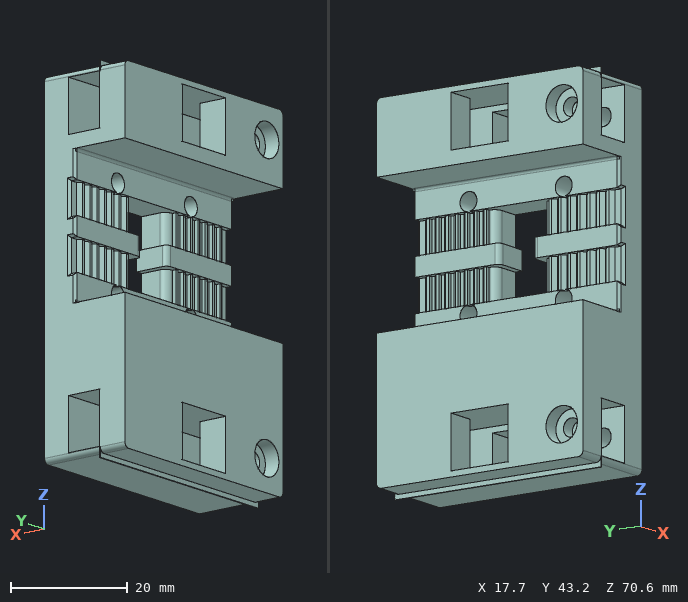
import cadquery as cq
THICKNESS = 17.7
WIDTH = 43.2
SHEET_HEIGHT = 70.6
BODY_HEIGHT = 68.8
CORNER_RADIUS = 1.0
FRONT_X = -THICKNESS / 2
BACK_X = THICKNESS / 2
END_Y = WIDTH / 2

MOUNT_Z = 28.25
SLOT_FRONT_X = -3.25
SLOT_DEPTH = 6.8
SLOT_HEIGHT = 10.2
WINDOW_WIDTH = 11.85
BACK_WINDOW_HEIGHT = 8.0
SHEET_THICKNESS = 0.2

MOUNT_SCREW_DIAMETER = 3.4
MOUNT_SCREW_Y = -17.15
HEAD_DIAMETER = 6.6
HEAD_DEPTH = 3.0

RECESS_Z = 6.8
RECESS_HEIGHT = 27.4
FLOOR_X = 2.05
FLOOR_FILLET = 0.5
CLAMP_SCREW_DIAMETER = 3.5
CLAMP_SCREW_OFFSET = 9.95

RIB_HEIGHT = 3.75
CHANNEL_HEIGHT = 6.35
CHANNEL_OFFSET = (RIB_HEIGHT + CHANNEL_HEIGHT) / 2
CREST_X = 2.55
TOOTH_HEIGHT = 0.75
ROOT_X = CREST_X + TOOTH_HEIGHT
END_FLARE = 0.5

TOOTH_COUNT = 7
TOOTH_PITCH = 2.0
CREST_WIDTH = 0.6
FIRST_CREST_END_Y = 7.05

OPENING_HALF_WIDTH = 4.9
CHANNEL_ROUND = 1.5
RIB_GAP_HALF_WIDTH = 3.45
RIB_ROUND = 1.0

SIDES = (-1, 1)


def block(x_range, y_range, z_range):
    """Axis-aligned box between the given limits."""
    size = [high - low for low, high in (x_range, y_range, z_range)]
    corner = (x_range[0], y_range[0], z_range[0])
    return cq.Workplane("XY").box(*size, centered=False).translate(corner)


def span(centre, length):
    return (centre - length / 2, centre + length / 2)


def hole_along_x(diameter, y, z, x_range):
    """Cylinder along X, used as a cutter."""
    length = x_range[1] - x_range[0]
    cutter = cq.Workplane("YZ", origin=(x_range[0], 0, 0))
    return cutter.center(y, z).circle(diameter / 2).extrude(length)


def make_housing():
    body = cq.Workplane("XY").box(THICKNESS, WIDTH, BODY_HEIGHT)
    body = body.edges("|X").fillet(CORNER_RADIUS)
    sheet_x = (SLOT_FRONT_X - SHEET_THICKNESS, SLOT_FRONT_X)
    sheet = block(sheet_x, span(0, WIDTH), span(0, SHEET_HEIGHT))
    return body.union(sheet)


def cut_mounting_end(body, z):
    slot_back_x = SLOT_FRONT_X + SLOT_DEPTH
    slot_z = span(z, SLOT_HEIGHT)
    window_y = span(0, WINDOW_WIDTH)
    body = body.cut(block((SLOT_FRONT_X, slot_back_x), span(0, WIDTH), slot_z))
    body = body.cut(block((FRONT_X, slot_back_x), window_y, slot_z))
    body = body.cut(block((slot_back_x, BACK_X), window_y, span(z, BACK_WINDOW_HEIGHT)))
    body = body.cut(hole_along_x(MOUNT_SCREW_DIAMETER, MOUNT_SCREW_Y, z, (FRONT_X, BACK_X)))
    head_x = (FRONT_X, FRONT_X + HEAD_DEPTH)
    return body.cut(hole_along_x(HEAD_DIAMETER, MOUNT_SCREW_Y, z, head_x))


def recess_cutter():
    recess = block((FRONT_X, FLOOR_X), span(0, WIDTH), span(RECESS_Z, RECESS_HEIGHT))
    return recess.edges("|Y and >X").fillet(FLOOR_FILLET)


def channel_profile(side):
    """Half of the belt channel in the XY plane, from the middle to one end."""
    round_end_y = OPENING_HALF_WIDTH + CHANNEL_ROUND
    points = [(ROOT_X, round_end_y)]
    for index in range(TOOTH_COUNT):
        crest_end_y = FIRST_CREST_END_Y + index * TOOTH_PITCH
        crest_start_y = crest_end_y - CREST_WIDTH
        points.append((ROOT_X, crest_start_y))
        points.append((CREST_X, crest_start_y))
        points.append((CREST_X, crest_end_y))
        points.append((ROOT_X, crest_end_y + TOOTH_HEIGHT))
    points += [(ROOT_X, END_Y), (FRONT_X, END_Y), (FRONT_X, 0), (BACK_X, 0)]
    points.append((BACK_X, OPENING_HALF_WIDTH))
    points.append((ROOT_X + CHANNEL_ROUND, OPENING_HALF_WIDTH))

    sketch = cq.Workplane("XY").moveTo(points[0][0], side * points[0][1])
    for x, y in points[1:]:
        sketch = sketch.lineTo(x, side * y)
    middle = CHANNEL_ROUND * (1 - 0.5 ** 0.5)
    sketch = sketch.threePointArc(
        (ROOT_X + middle, side * (OPENING_HALF_WIDTH + middle)),
        (ROOT_X, side * round_end_y),
    )
    return sketch.close()


def end_flare(side, depth_x, z, height):
    """Tapered cutter that widens a passage by END_FLARE where it leaves the body."""
    inner_y = side * (END_Y - END_FLARE)

    def corners(growth):
        low, high = span(z, height + 2 * growth)
        return [(0, low), (depth_x + growth, low), (depth_x + growth, high), (0, high)]

    flare = cq.Workplane("XZ", origin=(0, inner_y, 0)).polyline(corners(0)).close()
    flare = flare.workplane(offset=-side * END_FLARE).polyline(corners(END_FLARE)).close()
    return flare.loft(ruled=True, combine=True)


def cut_channel(body, z):
    low_z = z - CHANNEL_HEIGHT / 2
    for side in SIDES:
        channel = channel_profile(side).extrude(CHANNEL_HEIGHT)
        body = body.cut(channel.translate((0, 0, low_z)))
        body = body.cut(end_flare(side, ROOT_X, z, CHANNEL_HEIGHT))
    return body


def cut_floor_ends(body):
    """Bevel the floor edge at both ends of the recess."""
    low_z = RECESS_Z - RECESS_HEIGHT / 2
    for side in SIDES:
        bevel = cq.Workplane("XY", origin=(0, 0, low_z)).polyline([
            (FLOOR_X, side * (END_Y - END_FLARE)),
            (FLOOR_X + END_FLARE, side * END_Y),
            (FLOOR_X, side * END_Y),
        ])
        body = body.cut(bevel.close().extrude(RECESS_HEIGHT))
    return body


def cut_rib_gap(body):
    """Split the rib in the middle and round its two front edges."""
    gap_y = span(0, 2 * RIB_GAP_HALF_WIDTH)
    gap = block((FLOOR_X, BACK_X), gap_y, span(RECESS_Z, RIB_HEIGHT))
    body = body.cut(gap)
    rib_edges = cq.selectors.BoxSelector(
        (FLOOR_X - RIB_ROUND / 2, gap_y[0] - RIB_ROUND / 2, RECESS_Z - RIB_HEIGHT),
        (FLOOR_X + RIB_ROUND / 2, gap_y[1] + RIB_ROUND / 2, RECESS_Z + RIB_HEIGHT),
    )
    return body.edges("|Z").edges(rib_edges).fillet(RIB_ROUND)


def cut_clamp_screws(body):
    for y_side in SIDES:
        for z_side in SIDES:
            y = y_side * CLAMP_SCREW_OFFSET
            z = RECESS_Z + z_side * CLAMP_SCREW_OFFSET
            body = body.cut(hole_along_x(CLAMP_SCREW_DIAMETER, y, z, (FRONT_X, BACK_X)))
    return body


result = make_housing()
for mount_side in SIDES:
    result = cut_mounting_end(result, mount_side * MOUNT_Z)
result = result.cut(recess_cutter())
result = cut_floor_ends(result)
for channel_side in SIDES:
    result = cut_channel(result, RECESS_Z + channel_side * CHANNEL_OFFSET)
result = cut_rib_gap(result)
result = cut_clamp_screws(result).solids()